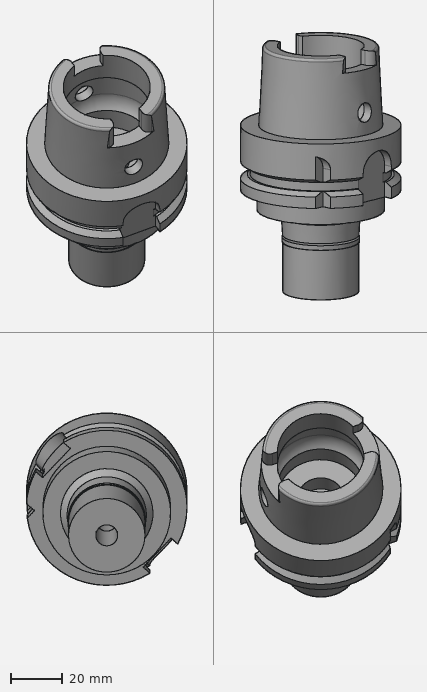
import cadquery as cq
import math

total_height = 99.0
shank_length = 32.0
flange_height = 26.0
collar_height = 8.0
flange_top = total_height - shank_length
flange_bottom = flange_top - flange_height
collar_bottom = flange_bottom - collar_height
shoulder_bottom = 30.3
nose_bottom = 22.8
seat_height = 22.0
rim_bottom = 20.1

shank_base_radius = 24.4
shank_taper = 0.05
shank_tip_fillet = 1.1
flange_radius = 31.5
collar_radius = 25.0
shoulder_top_radius = 18.1
nose_top_radius = 15.5
nose_bottom_radius = 15.0
neck_radius = 11.3

groove_radius = 27.7
groove_center = 49.0
groove_floor_width = 3.7
groove_mouth_width = 6.8
groove_flank_radius = 28.8

bore_radius = 17.0
bore_floor = 57.6
chamber_radius = 20.1
chamber_top = 86.1
chamber_curve_top = 73.5
chamber_curve_radius = 7.9
thread_radius = 9.1
thread_depth = 9.9
coolant_radius = 4.3

cross_hole_radius = 3.9
cross_hole_height = 76.0
key_slot_width = 12.6
key_slot_corner_radius = 3.0
key_slot_shoulder = 20.9
key_slot_floors = {-1: 93.1, 1: 89.0}

slot_top = 62.0
drive_slot_floor = 26.8
drive_slot_width = 16.0
notch_wall = 20.1
notch_width = 10.9

nut_radius = 14.9
nut_rim_radius = 15.2


def revolved(profile):
    """Solid of revolution about Z from (radius, height) points."""
    return cq.Workplane("YZ").polyline(profile).close().revolve(360, (0, 0), (0, 1))


def holder_blank():
    """Solid of revolution with the taper shank, flange, collar and nose."""
    shank_tip_radius = shank_base_radius - shank_taper * shank_length
    profile = [
        (0, seat_height),
        (neck_radius, seat_height),
        (neck_radius, nose_bottom),
        (nose_bottom_radius, nose_bottom),
        (nose_top_radius, shoulder_bottom),
        (shoulder_top_radius, collar_bottom),
        (collar_radius, collar_bottom),
        (collar_radius, flange_bottom),
        (flange_radius, flange_bottom),
        (flange_radius, flange_top),
        (shank_base_radius, flange_top),
        (shank_tip_radius, total_height),
        (0, total_height),
    ]
    return revolved(profile).faces(">Z").edges().fillet(shank_tip_fillet)


def gripper_groove():
    """Ring cut around the flange: straight floor between two sloped flanks."""
    floor_half = groove_floor_width / 2
    mouth_half = groove_mouth_width / 2
    profile = [
        (groove_radius, groove_center - floor_half),
        (groove_flank_radius, groove_center - floor_half),
        (flange_radius, groove_center - mouth_half),
        (flange_radius, groove_center + mouth_half),
        (groove_flank_radius, groove_center + floor_half),
        (groove_radius, groove_center + floor_half),
    ]
    return revolved(profile)


def holder_bores():
    """Main bore with a wider clamping chamber, then the coolant thread and the through bore."""
    thread_bottom = bore_floor - thread_depth
    curve_center = chamber_radius - chamber_curve_radius
    curve_angle = math.acos((bore_radius - curve_center) / chamber_curve_radius)
    curve_bottom = chamber_curve_top - chamber_curve_radius * math.sin(curve_angle)
    curve_middle = (
        curve_center + chamber_curve_radius * math.cos(curve_angle / 2),
        chamber_curve_top - chamber_curve_radius * math.sin(curve_angle / 2),
    )
    return (
        cq.Workplane("YZ")
        .moveTo(0, seat_height)
        .lineTo(coolant_radius, seat_height)
        .lineTo(coolant_radius, thread_bottom)
        .lineTo(thread_radius, thread_bottom)
        .lineTo(thread_radius, bore_floor)
        .lineTo(bore_radius, bore_floor)
        .lineTo(bore_radius, curve_bottom)
        .threePointArc(curve_middle, (chamber_radius, chamber_curve_top))
        .lineTo(chamber_radius, chamber_top)
        .lineTo(bore_radius, chamber_top)
        .lineTo(bore_radius, total_height)
        .lineTo(0, total_height)
        .close()
        .revolve(360, (0, 0), (0, 1))
    )


def cross_hole():
    """Hole along X through both shank walls."""
    return (
        cq.Workplane("YZ")
        .center(0, cross_hole_height)
        .circle(cross_hole_radius)
        .extrude(shank_base_radius, both=True)
    )


def key_slot(side, floor):
    """Slot in one shank wall, opening over two rounded corners into a flat across the shank."""
    half = key_slot_width / 2
    corner = key_slot_corner_radius
    wide_half = half + corner
    corner_start = key_slot_shoulder - corner
    outer = shank_base_radius
    diagonal = corner * math.sqrt(0.5)
    arc_mid_x = corner_start + diagonal
    arc_mid_y = wide_half - diagonal
    return (
        cq.Workplane("XY")
        .workplane(offset=floor)
        .moveTo(0, -half)
        .lineTo(side * corner_start, -half)
        .threePointArc((side * arc_mid_x, -arc_mid_y), (side * key_slot_shoulder, -wide_half))
        .lineTo(side * key_slot_shoulder, -outer)
        .lineTo(side * outer, -outer)
        .lineTo(side * outer, outer)
        .lineTo(side * key_slot_shoulder, outer)
        .lineTo(side * key_slot_shoulder, wide_half)
        .threePointArc((side * arc_mid_x, arc_mid_y), (side * corner_start, half))
        .lineTo(0, half)
        .close()
        .extrude(total_height - floor)
    )


def arched_slot(side, center_y, width, floor):
    """Slot across the flange edge, open below, with a round upper end and a flat floor normal to X."""
    radius = width / 2
    arch_center = slot_top - radius
    return (
        cq.Workplane("YZ")
        .workplane(offset=side * floor)
        .moveTo(center_y - radius, flange_bottom)
        .lineTo(center_y - radius, arch_center)
        .threePointArc((center_y, slot_top), (center_y + radius, arch_center))
        .lineTo(center_y + radius, flange_bottom)
        .close()
        .extrude(side * (flange_radius - floor))
    )


def make_holder():
    holder = holder_blank().cut(gripper_groove()).cut(holder_bores()).cut(cross_hole())
    for side, floor in key_slot_floors.items():
        holder = holder.cut(key_slot(side, floor))
    for side in (-1, 1):
        holder = holder.cut(arched_slot(side, 0, drive_slot_width, drive_slot_floor))
    orientation_notch = arched_slot(-1, notch_wall + notch_width / 2, notch_width, notch_wall)
    return holder.cut(orientation_notch)


def cylinder(radius, bottom, top):
    return cq.Workplane("XY").workplane(offset=bottom).circle(radius).extrude(top - bottom)


def make_clamping_nut():
    """Cylindrical nut with a slightly wider rim at its upper end and a through bore."""
    body = cylinder(nut_radius, 0, rim_bottom)
    rim = cylinder(nut_rim_radius, rim_bottom, seat_height)
    return body.union(rim).cut(cylinder(coolant_radius, 0, seat_height))


holder = make_holder()
clamping_nut = make_clamping_nut()

result = cq.Compound.makeCompound([holder.val(), clamping_nut.val()])